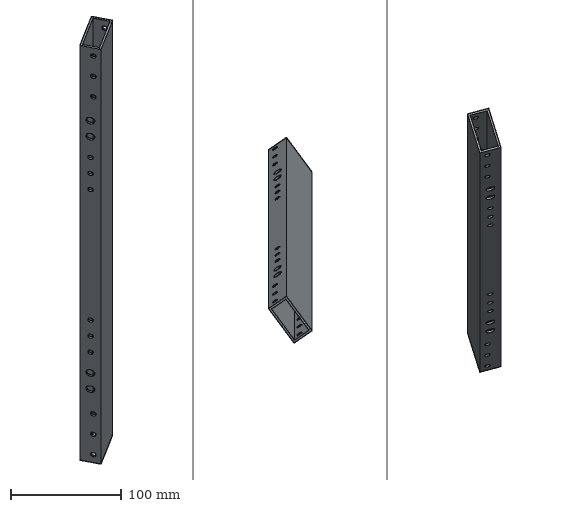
import cadquery as cq

WIDTH = 20.0
DEPTH = 40.0
LENGTH = 516.4
WALL = 2.0

END_HOLE_DIAMETER = 5.0
END_HOLE_OFFSET = 2.75
END_HOLE_PITCH = 25.4
END_HOLE_MARGIN = 10.0
END_HOLE_TOP = LENGTH / 2 - END_HOLE_MARGIN
END_HOLE_COUNT = 3

LARGE_HOLE_DIAMETER = 8.0
INNER_HOLE_DIAMETER = 5.0
HOLE_PITCH = 20.0
CENTRE_LINE = 0.0
LARGE_HOLE_TOP = 167.1
LARGE_HOLE_COUNT = 2
INNER_HOLE_TOP = 121.2
INNER_HOLE_COUNT = 3


def make_tube():
    """Square-cornered tube, open at both ends."""
    outer = cq.Workplane("XY").rect(WIDTH, DEPTH)
    profile = outer.rect(WIDTH - 2 * WALL, DEPTH - 2 * WALL)
    return profile.extrude(LENGTH / 2, both=True)


def drill_mirrored_row(body, diameter, x, top, pitch, count):
    """Drill a row downward from `top`, and its mirror image, through both narrow walls."""
    points = []
    for index in range(count):
        height = top - index * pitch
        points.append((x, height))
        points.append((x, -height))
    plane = cq.Workplane("XZ")
    drills = plane.pushPoints(points).circle(diameter / 2).extrude(DEPTH, both=True)
    return body.cut(drills)


result = make_tube()
result = drill_mirrored_row(
    result, END_HOLE_DIAMETER, END_HOLE_OFFSET, END_HOLE_TOP, END_HOLE_PITCH, END_HOLE_COUNT
)
result = drill_mirrored_row(
    result, LARGE_HOLE_DIAMETER, CENTRE_LINE, LARGE_HOLE_TOP, HOLE_PITCH, LARGE_HOLE_COUNT
)
result = drill_mirrored_row(
    result, INNER_HOLE_DIAMETER, CENTRE_LINE, INNER_HOLE_TOP, HOLE_PITCH, INNER_HOLE_COUNT
)